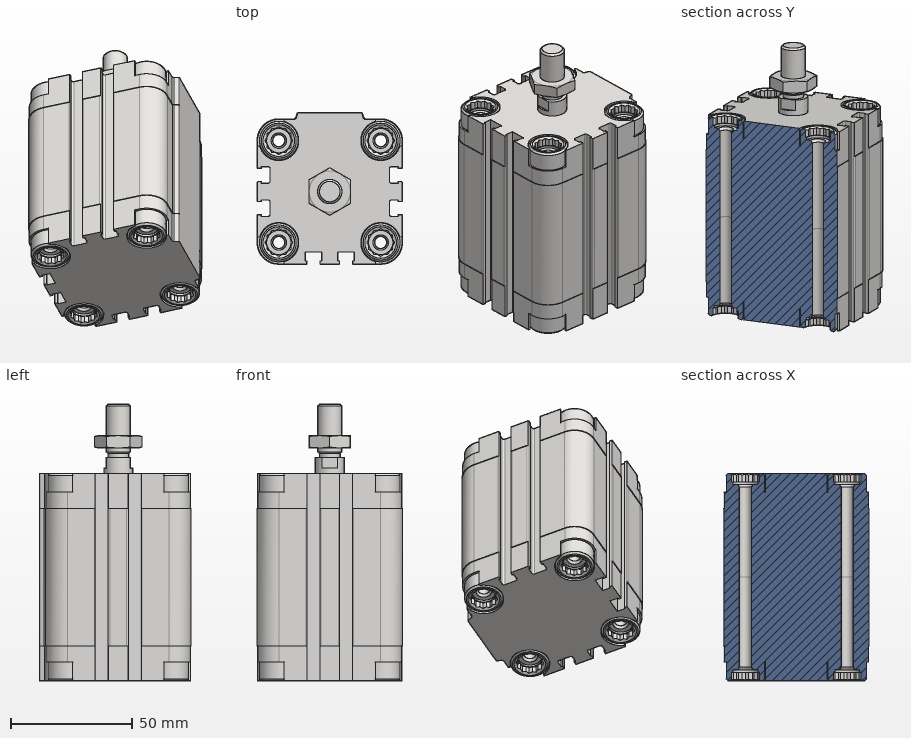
import cadquery as cq
import math


barrel_half = 30.0
cap_inset = 0.2
screw_offset = 21.0
housing_height = 85.5
cap_height = 14.5
pad_reach = 32.5
pad_face_half = 13.3
pad_root_half = 14.0
pad_edge_round = 0.5
pad_root_bevel = 0.6

slot_width = 6.7
slot_mouth = 5.4
side_slot_spacing = 13.7
side_slot_depth = 5.4
side_lip = 1.8
side_slot_round = 0.8
front_slot_spacing = 13.5
front_slot_depth = 5.0
front_lip = 1.5
mouth_round = 0.3
side_rib_round = 0.7

head_diameter = 16.0
head_height = 7.8
head_chamfer = 0.8
head_clearance = 0.2
notch_overlap = 2.2
socket_point_radius = 5.7
socket_points = 12
socket_depth = 3.5
socket_rim_diameter = 13.0
socket_rim_drop = 0.7
well_diameter = 10.0
well_depth = 4.6
countersink_diameter = 6.4
countersink_drop = 1.1
screw_bore = 4.9

rod_diameter = 12.0
rod_tip = 114.0
rod_seat = housing_height - cap_height
flat_width = 10.0
flat_bottom = 87.7
shoulder = 92.1
neck_diameter = 8.7
neck_top = 93.7
thread_outer = 10.0
tip_chamfer = 0.8

nut_across_flats = 17.0
nut_bottom = 96.0
nut_height = 5.0
nut_chamfer_angle = 15.0

half_height = housing_height / 2
corner_signs = [(sx, sy) for sx in (-1, 1) for sy in (-1, 1)]


def rounded_prism(inset, bottom, height):
    """Square prism whose rounded corners are centred on the screw axes."""
    half = barrel_half - inset
    prism = cq.Workplane("XY").workplane(offset=bottom).rect(2 * half, 2 * half).extrude(height)
    return prism.edges("|Z").fillet(half - screw_offset)


def raised_pad(inset, bottom, height):
    """Pad with sloping flanks on the +Y side; the inset narrows the flanks only."""
    base = barrel_half - inset
    root = pad_root_half - inset
    face = pad_face_half - inset
    half_outline = [
        (root + pad_root_bevel, 0),
        (root + pad_root_bevel, base),
        (root, base + pad_root_bevel),
        (face, pad_reach),
    ]
    outline = half_outline + [(-x, y) for x, y in reversed(half_outline)]
    pad = cq.Workplane("XY").workplane(offset=bottom).polyline(outline).close().extrude(height)
    return pad.edges("|Z and >Y").fillet(pad_edge_round)


def t_slot(spacing, depth, lip, rib_round, corner_round=0):
    """T-slot cutter that opens toward -Y, on the +X side of the rib at X = 0."""
    centre = spacing / 2
    chamber = (
        cq.Workplane("XY")
        .center(centre, -barrel_half + (lip + depth) / 2)
        .rect(slot_width, depth - lip)
        .extrude(housing_height)
    )
    if corner_round:
        chamber = chamber.edges("|Z and >Y").fillet(corner_round)
    rib_side = centre - slot_mouth / 2
    outer_side = centre + slot_mouth / 2
    mouth = (
        cq.Workplane("XY")
        .moveTo(rib_side - rib_round, -barrel_half)
        .radiusArc((rib_side, -barrel_half + rib_round), -rib_round)
        .lineTo(rib_side, -barrel_half + lip)
        .lineTo(outer_side, -barrel_half + lip)
        .lineTo(outer_side, -barrel_half + mouth_round)
        .radiusArc((outer_side + mouth_round, -barrel_half), -mouth_round)
        .close()
        .extrude(housing_height)
    )
    return chamber.union(mouth)


def corner_notch():
    """Cutter at the top of the +X +Y corner that leaves the screw head standing."""
    inner = screw_offset - notch_overlap
    reach = barrel_half - inner
    base = housing_height - head_height
    block = cq.Workplane("XY", origin=(inner, inner, base)).rect(reach, reach, centered=False)
    head_centre = cq.Workplane("XY", origin=(screw_offset, screw_offset, base))
    recess = head_centre.circle(head_diameter / 2 + head_clearance).extrude(head_height)
    head = head_centre.circle(head_diameter / 2).extrude(head_height)
    return block.extrude(head_height).union(recess).cut(head)


def head_bevel():
    """Ring cutter that bevels the rim of a screw head at the top of its own axis."""
    outer = head_diameter / 2
    return (
        cq.Workplane("XZ")
        .moveTo(outer, housing_height)
        .lineTo(outer - head_chamfer, housing_height)
        .lineTo(outer, housing_height - head_chamfer)
        .close()
        .revolve(360, (0, 0, 0), (0, 1, 0))
    )


def screw_socket():
    """Cutter for the twelve-point socket and the upper half of the screw bore."""
    well_floor = housing_height - well_depth
    step = math.pi / socket_points
    valley_radius = socket_point_radius * math.cos(2 * step) / math.cos(step)
    star_outline = []
    for i in range(2 * socket_points):
        radius = valley_radius if i % 2 else socket_point_radius
        star_outline.append((radius * math.cos(i * step), radius * math.sin(i * step)))
    star = (
        cq.Workplane("XY")
        .workplane(offset=housing_height - socket_depth)
        .polyline(star_outline)
        .close()
        .extrude(socket_depth)
    )
    round_part = (
        cq.Workplane("XZ")
        .moveTo(0, half_height)
        .lineTo(screw_bore / 2, half_height)
        .lineTo(screw_bore / 2, well_floor - countersink_drop)
        .lineTo(countersink_diameter / 2, well_floor)
        .lineTo(well_diameter / 2, well_floor)
        .lineTo(well_diameter / 2, housing_height - socket_rim_drop)
        .lineTo(socket_rim_diameter / 2, housing_height)
        .lineTo(0, housing_height)
        .close()
        .revolve(360, (0, 0, 0), (0, 1, 0))
    )
    return star.union(round_part)


def corner_cutters():
    """Cutters for the top of one corner, at +X +Y."""
    screw_place = (screw_offset, screw_offset, 0)
    return [corner_notch(), head_bevel().translate(screw_place), screw_socket().translate(screw_place)]


def make_housing():
    barrel_height = housing_height - 2 * cap_height
    body = rounded_prism(cap_inset, 0, housing_height)
    body = body.union(rounded_prism(0, cap_height, barrel_height))
    body = body.union(raised_pad(cap_inset, 0, housing_height))
    body = body.union(raised_pad(0, cap_height, barrel_height))

    front_slot = t_slot(front_slot_spacing, front_slot_depth, front_lip, mouth_round)
    side_slot = t_slot(side_slot_spacing, side_slot_depth, side_lip, side_rib_round, side_slot_round)
    body = body.cut(front_slot).cut(front_slot.mirror("YZ"))
    for slot in (side_slot, side_slot.mirror("YZ")):
        for turn in (-90, 90):
            body = body.cut(slot.rotate((0, 0, 0), (0, 0, 1), turn))

    middle = (0, 0, half_height)
    for cutter in corner_cutters():
        for sx, sy in corner_signs:
            top = cutter
            if sx < 0:
                top = top.mirror("YZ")
            if sy < 0:
                top = top.mirror("XZ")
            body = body.cut(top).cut(top.mirror("XY", middle))

    rod_hole = cq.Workplane("XY").workplane(offset=rod_seat).circle(rod_diameter / 2).extrude(cap_height)
    return body.cut(rod_hole)


def make_rod():
    thread_start = neck_top + (thread_outer - neck_diameter) / 2
    rod = (
        cq.Workplane("XZ")
        .moveTo(0, rod_seat)
        .lineTo(rod_diameter / 2, rod_seat)
        .lineTo(rod_diameter / 2, shoulder)
        .lineTo(neck_diameter / 2, shoulder)
        .lineTo(neck_diameter / 2, neck_top)
        .lineTo(thread_outer / 2, thread_start)
        .lineTo(thread_outer / 2, rod_tip - tip_chamfer)
        .lineTo(thread_outer / 2 - tip_chamfer, rod_tip)
        .lineTo(0, rod_tip)
        .close()
        .revolve(360, (0, 0, 0), (0, 1, 0))
    )
    flat_height = shoulder - flat_bottom
    for sign in (-1, 1):
        flat_centre = (0, sign * (flat_width + rod_diameter) / 2, flat_bottom + flat_height / 2)
        rod = rod.cut(cq.Workplane("XY", origin=flat_centre).box(rod_diameter, rod_diameter, flat_height))
    return rod


def make_nut():
    corner_radius = nut_across_flats / math.sqrt(3)
    face_radius = nut_across_flats / 2
    chamfer_drop = (corner_radius - face_radius) * math.tan(math.radians(nut_chamfer_angle))
    nut_top = nut_bottom + nut_height
    hexagon = (
        cq.Workplane("XY")
        .workplane(offset=nut_bottom)
        .polygon(6, 2 * corner_radius)
        .extrude(nut_height)
        .rotate((0, 0, 0), (0, 0, 1), 90)
    )
    envelope = (
        cq.Workplane("XZ")
        .moveTo(thread_outer / 2, nut_bottom)
        .lineTo(face_radius, nut_bottom)
        .lineTo(corner_radius, nut_bottom + chamfer_drop)
        .lineTo(corner_radius, nut_top - chamfer_drop)
        .lineTo(face_radius, nut_top)
        .lineTo(thread_outer / 2, nut_top)
        .close()
        .revolve(360, (0, 0, 0), (0, 1, 0))
    )
    return hexagon.intersect(envelope)


housing = make_housing()
rod = make_rod()
nut = make_nut()

result = cq.Compound.makeCompound([housing.val(), rod.val(), nut.val()])